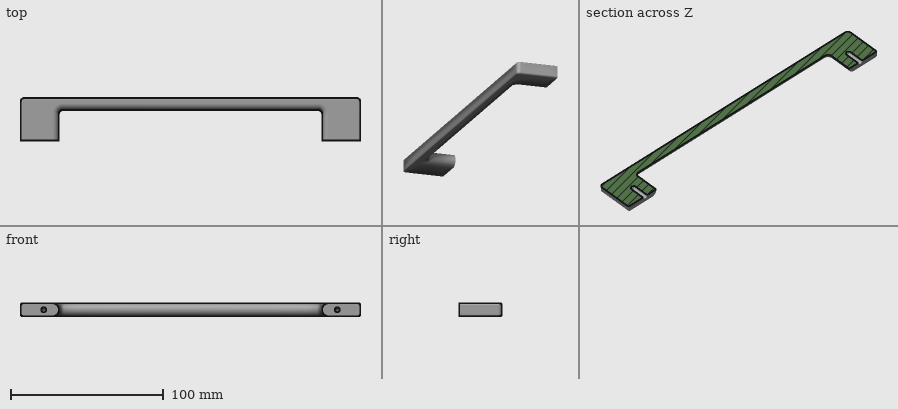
import cadquery as cq

length = 222.0
depth = 28.0
thickness = 8.5

leg_width = 25.0
bar_depth = 8.0
inner_corner_radius = 2.5

round_radius = thickness / 2
outer_corner_radius = 2.5
outer_edge_radius = 1.25

hole_spacing = 192.0
hole_diameter = 3.3
hole_depth = 12.0
hole_tip_length = 1.0

half_length = length / 2
back_y = depth / 2
foot_y = -depth / 2
half_thickness = thickness / 2

plate_inner_x = half_length - leg_width + round_radius
plate_inner_y = back_y - bar_depth + round_radius
plate_corner_radius = inner_corner_radius + round_radius


def inner_path(workplane):
    """Draw the inner boundary from the right foot to the left foot."""
    bend_x = plate_inner_x - plate_corner_radius
    bend_y = plate_inner_y - plate_corner_radius
    return (
        workplane.moveTo(plate_inner_x, foot_y)
        .lineTo(plate_inner_x, bend_y)
        .radiusArc((bend_x, plate_inner_y), -plate_corner_radius)
        .lineTo(-bend_x, plate_inner_y)
        .radiusArc((-plate_inner_x, bend_y), -plate_corner_radius)
        .lineTo(-plate_inner_x, foot_y)
    )


def make_plate():
    """Flat U-shaped plate with rounded outer corners and outer edges."""
    block = (
        cq.Workplane("XY")
        .box(length, depth, thickness)
        .edges("|Z and >Y")
        .fillet(outer_corner_radius)
    )
    block = block.faces(">Y").edges("|X").fillet(outer_edge_radius)
    opening = (
        inner_path(cq.Workplane("XY", origin=(0, 0, -half_thickness)))
        .close()
        .extrude(thickness)
    )
    return block.cut(opening)


def make_inner_round():
    """Half-round bead that follows the inner side of the plate."""
    foot_plane = cq.Workplane("XZ", origin=(plate_inner_x, foot_y, 0))
    profile = (
        foot_plane.moveTo(0, half_thickness)
        .threePointArc((-round_radius, 0), (0, -half_thickness))
        .close()
    )
    return profile.sweep(inner_path(cq.Workplane("XY")))


def make_hole(x):
    """Blind drilled hole with a conical tip, entering from the foot."""
    hole_radius = hole_diameter / 2
    return (
        cq.Workplane("XY", origin=(x, foot_y, 0))
        .lineTo(hole_radius, 0)
        .lineTo(hole_radius, hole_depth)
        .lineTo(0, hole_depth + hole_tip_length)
        .close()
        .revolve(360, (0, 0), (0, 1))
    )


result = make_plate().union(make_inner_round())
for side in (-1, 1):
    result = result.cut(make_hole(side * hole_spacing / 2))